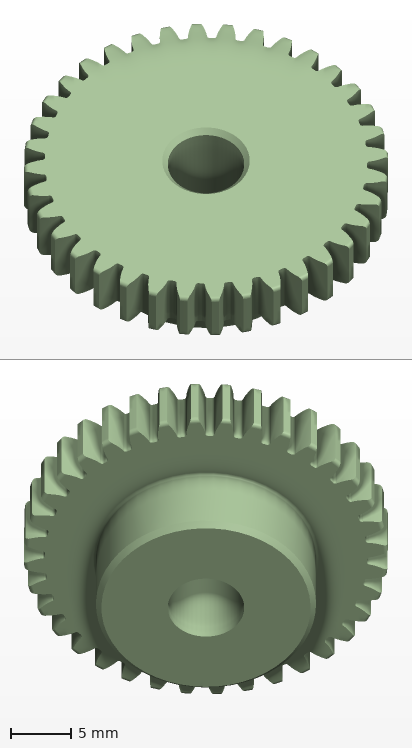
import cadquery as cq
import math

TOOTH_COUNT = 36
PITCH_RADIUS = 14.4
PRESSURE_ANGLE = math.radians(21)
TIP_RADIUS = 15.1
ROOT_RADIUS = 13.35
ROOT_FILLET = 0.25
TIP_FILLET = 0.35
FIRST_TOOTH_ANGLE = 2.5
BACKLASH_ANGLE = math.radians(0.1)
FLANK_POINTS = 6

TOTAL_HEIGHT = 11.12
DISC_THICKNESS = 4.8
HUB_RADIUS = 9.13
HUB_CHAMFER = 0.45
HUB_FILLET = 0.25

BORE_RADIUS = 3.17
BORE_CHAMFER = 0.45

BASE_RADIUS = PITCH_RADIUS * math.cos(PRESSURE_ANGLE)
CUTTER_MARGIN = 0.15
CUTTER_RADIUS = TIP_RADIUS + CUTTER_MARGIN
HUB_HEIGHT = TOTAL_HEIGHT - DISC_THICKNESS
TOOTH_PITCH = 360 / TOOTH_COUNT


def polar(radius, angle):
    """Point at an angle in radians from +X."""
    return (radius * math.cos(angle), radius * math.sin(angle))


def involute(angle):
    """Involute function of a pressure angle in radians."""
    return math.tan(angle) - angle


def gap_half_angle(radius):
    """Half the angle between facing involute flanks at a radius."""
    flank_angle = math.acos(BASE_RADIUS / radius)
    pitch_half_angle = math.pi / (2 * TOOTH_COUNT) + BACKLASH_ANGLE
    return pitch_half_angle - involute(PRESSURE_ANGLE) + involute(flank_angle)


def make_blank():
    """Disc with rounded rims on top of a chamfered hub."""
    disc = cq.Workplane("XY").workplane(offset=HUB_HEIGHT).circle(TIP_RADIUS).extrude(DISC_THICKNESS)
    disc = disc.faces("<Z or >Z").edges().fillet(TIP_FILLET)
    hub = cq.Workplane("XY").circle(HUB_RADIUS).extrude(HUB_HEIGHT)
    hub = hub.faces("<Z").edges().chamfer(HUB_CHAMFER)
    under_rim = cq.selectors.NearestToPointSelector(((HUB_RADIUS + TIP_RADIUS) / 2, 0, HUB_HEIGHT))
    hub_corner = disc.union(hub).faces(under_rim).edges(cq.selectors.RadiusNthSelector(0))
    return hub_corner.fillet(HUB_FILLET)


def make_gap():
    """Cutter for one tooth gap, centred on +X."""
    fillet_centre_radius = ROOT_RADIUS + ROOT_FILLET
    fillet_angle = math.asin(ROOT_FILLET / fillet_centre_radius)
    foot_radius = math.sqrt(fillet_centre_radius**2 - ROOT_FILLET**2)
    foot_half_angle = gap_half_angle(foot_radius)
    floor_half_angle = foot_half_angle - fillet_angle
    centre_x, centre_y = polar(fillet_centre_radius, floor_half_angle)
    floor_contact_angle = floor_half_angle + math.pi
    flank_contact_angle = foot_half_angle + math.pi / 2
    middle_angle = (floor_contact_angle + flank_contact_angle) / 2
    offset_x, offset_y = polar(ROOT_FILLET, middle_angle)
    middle_x = centre_x + offset_x
    middle_y = centre_y + offset_y

    step = (CUTTER_RADIUS - foot_radius) / (FLANK_POINTS - 1)
    radii = [foot_radius + i * step for i in range(FLANK_POINTS)]
    upper_flank = [polar(r, gap_half_angle(r)) for r in radii]
    lower_flank = [(x, -y) for x, y in upper_flank]

    return (
        cq.Workplane("XY", origin=(0, 0, HUB_HEIGHT))
        .moveTo(*polar(ROOT_RADIUS, -floor_half_angle))
        .threePointArc((ROOT_RADIUS, 0), polar(ROOT_RADIUS, floor_half_angle))
        .threePointArc((middle_x, middle_y), upper_flank[0])
        .spline(upper_flank[1:], includeCurrent=True)
        .lineTo(*lower_flank[-1])
        .spline(lower_flank[-2::-1], includeCurrent=True)
        .threePointArc((middle_x, -middle_y), polar(ROOT_RADIUS, -floor_half_angle))
        .close()
        .extrude(DISC_THICKNESS)
    )


def cut_teeth(body):
    """Cut every tooth gap around the disc."""
    gap = make_gap().val()
    first_gap_angle = FIRST_TOOTH_ANGLE + TOOTH_PITCH / 2
    gaps = [
        gap.rotate((0, 0, 0), (0, 0, 1), first_gap_angle + i * TOOTH_PITCH)
        for i in range(TOOTH_COUNT)
    ]
    return body.cut(cq.Workplane(cq.Compound.makeCompound(gaps)))


def cut_bore(body):
    """Through bore with a chamfered mouth on the disc face."""
    body = body.faces(">Z").workplane(origin=(0, 0, 0)).circle(BORE_RADIUS).cutThruAll()
    return body.faces(">Z").edges(cq.selectors.RadiusNthSelector(0)).chamfer(BORE_CHAMFER)


result = cut_teeth(cut_bore(make_blank()))